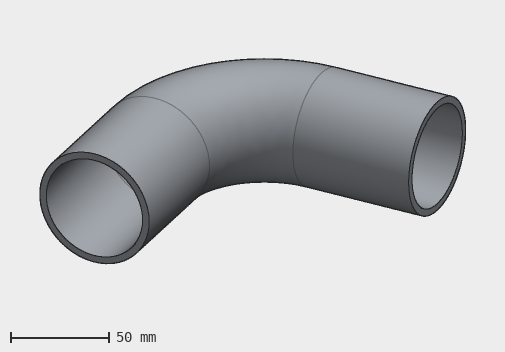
import cadquery as cq
import math

overall_length = 161.0
outer_diameter = 63.0
bore_diameter = 55.4

bend_radius = outer_diameter
leg_reach = overall_length - outer_diameter / 2

bend_mid_offset = bend_radius * (1 - math.cos(math.radians(45)))

centreline = (
    cq.Workplane("XY")
    .moveTo(0, -leg_reach)
    .lineTo(0, -bend_radius)
    .threePointArc((bend_mid_offset, -bend_mid_offset), (bend_radius, 0))
    .lineTo(leg_reach, 0)
)

result = (
    cq.Workplane("XZ", origin=(0, -leg_reach, 0))
    .circle(outer_diameter / 2)
    .circle(bore_diameter / 2)
    .sweep(centreline)
)